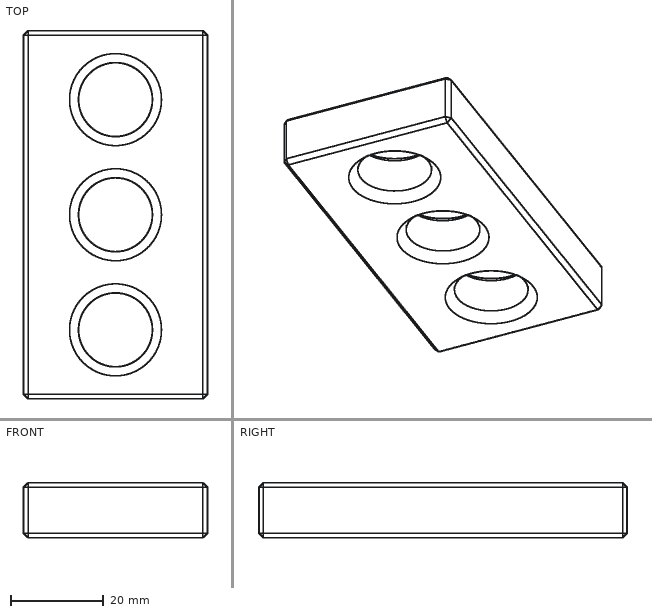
import cadquery as cq

width = 40.0
length = 80.0
thickness = 12.0
edge_chamfer = 1.0

hole_count = 3
hole_pitch = 25.0
hole_diameter = 16.0
hole_chamfer = 2.0


def make_plate():
    """Rectangular plate with all twelve edges chamfered."""
    return cq.Workplane("XY").box(width, length, thickness).edges().chamfer(edge_chamfer)


def make_hole_cutter():
    """Through hole on the Z axis that widens at 45 degrees towards both faces."""
    bore_radius = hole_diameter / 2
    mouth_radius = bore_radius + hole_chamfer
    face_z = thickness / 2
    bore_end_z = face_z - hole_chamfer
    half_section = (
        cq.Workplane("XZ")
        .moveTo(0, -face_z)
        .lineTo(mouth_radius, -face_z)
        .lineTo(bore_radius, -bore_end_z)
        .lineTo(bore_radius, bore_end_z)
        .lineTo(mouth_radius, face_z)
        .lineTo(0, face_z)
        .close()
    )
    return half_section.revolve(360, (0, 0, 0), (0, 1, 0))


def cut_holes(plate):
    """Cut the row of holes, spaced evenly about the plate centre."""
    cutter = make_hole_cutter()
    first_hole_y = -hole_pitch * (hole_count - 1) / 2
    for index in range(hole_count):
        plate = plate.cut(cutter.translate((0, first_hole_y + index * hole_pitch, 0)))
    return plate


result = cut_holes(make_plate())